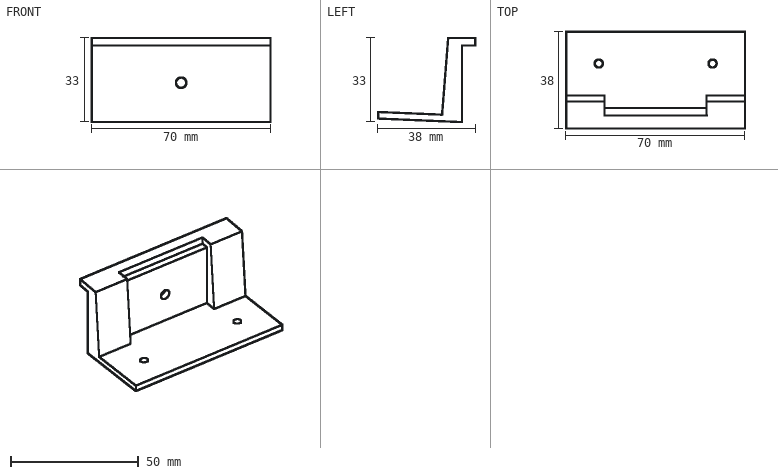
import cadquery as cq

length = 70.0
height = 33.0
lip_reach = 5.1
base_reach = 38.0 - lip_reach

lip_thickness = 3.0
wall_top_thickness = 5.5
wall_foot_thickness = 7.9
wall_foot_z = 3.0
base_end_bottom_z = 1.4
base_end_top_z = 4.05

recess_length = 39.9
web_thickness = 3.0
web_top_z = height - lip_thickness

wall_hole_diameter = 4.0
wall_hole_z = 15.5
base_hole_diameter = 3.1
base_hole_spacing = 44.5
base_hole_y = 20.4


def make_bracket():
    """Extrude the side profile along X, centred on X = 0."""
    profile = [
        (0, 0),
        (base_reach, base_end_bottom_z),
        (base_reach, base_end_top_z),
        (wall_foot_thickness, wall_foot_z),
        (wall_top_thickness, height),
        (-lip_reach, height),
        (-lip_reach, height - lip_thickness),
        (0, height - lip_thickness),
    ]
    return cq.Workplane("YZ").polyline(profile).close().extrude(length / 2, both=True)


def make_recess():
    """Stepped cutter: down to the wall foot behind the web, shallow above the web."""
    profile = [
        (0, height),
        (0, web_top_z),
        (web_thickness, web_top_z),
        (web_thickness, wall_foot_z),
        (wall_foot_thickness, wall_foot_z),
        (wall_foot_thickness, height),
    ]
    return cq.Workplane("YZ").polyline(profile).close().extrude(recess_length / 2, both=True)


def make_wall_hole():
    """Horizontal cutter through the web."""
    return (
        cq.Workplane("XZ")
        .center(0, wall_hole_z)
        .circle(wall_hole_diameter / 2)
        .extrude(-wall_foot_thickness)
    )


def make_base_holes():
    """Pair of vertical cutters through the base."""
    half_spacing = base_hole_spacing / 2
    return (
        cq.Workplane("XY")
        .pushPoints([(-half_spacing, base_hole_y), (half_spacing, base_hole_y)])
        .circle(base_hole_diameter / 2)
        .extrude(height)
    )


result = make_bracket().cut(make_recess()).cut(make_wall_hole()).cut(make_base_holes())